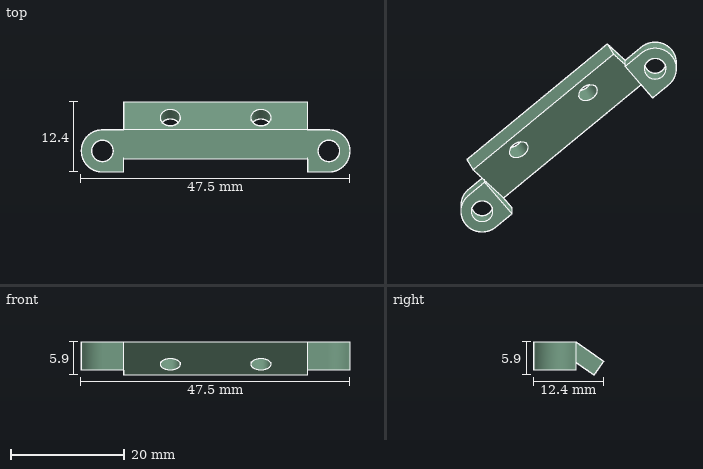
import cadquery as cq
import math

total_length = 47.5
lug_width = 7.5
lug_height = 5.0
lug_hole_diameter = 3.75
plate_thickness = 3.0
plate_tilt = 35.0
plate_overhang = 6.0
plate_hole_diameter = 3.5
plate_hole_spacing = 16.0
plate_hole_from_crest = 2.6

lug_radius = lug_width / 2
lug_hole_x = total_length / 2 - lug_radius
plate_length = total_length - 2 * lug_width
tilt_sin = math.sin(math.radians(plate_tilt))
tilt_cos = math.cos(math.radians(plate_tilt))


def make_lug(side):
    """End lug with a round outer end and a square inner end; side is -1 or 1."""
    lug = cq.Workplane("XY").center(side * lug_hole_x, -lug_radius).circle(lug_radius).extrude(-lug_height)
    inner_block = (
        cq.Workplane("XY")
        .center(side * (lug_hole_x - lug_radius / 2), -lug_radius)
        .rect(lug_radius, lug_width)
        .extrude(-lug_height)
    )
    bore = (
        cq.Workplane("XY")
        .center(side * lug_hole_x, -lug_radius)
        .circle(lug_hole_diameter / 2)
        .extrude(-lug_height)
    )
    return lug.union(inner_block).cut(bore)


def make_plate():
    """Tilted plate whose front end is trimmed flush with the top of the lugs."""
    rear_top = (plate_overhang * tilt_cos, -plate_overhang * tilt_sin)
    rear_bottom = (
        rear_top[0] - plate_thickness * tilt_sin,
        rear_top[1] - plate_thickness * tilt_cos,
    )
    front_edge = (-plate_thickness / tilt_sin, 0)
    return (
        cq.Workplane("YZ")
        .polyline([(0, 0), rear_top, rear_bottom, front_edge])
        .close()
        .extrude(plate_length / 2, both=True)
    )


def make_plate_holes():
    """Pair of cylinders through the plate, square to its sloping face."""
    slope_plane = cq.Plane(origin=(0, 0, 0), xDir=(1, 0, 0), normal=(0, tilt_sin, tilt_cos))
    half_spacing = plate_hole_spacing / 2
    return (
        cq.Workplane(slope_plane)
        .pushPoints([(side * half_spacing, plate_hole_from_crest) for side in (-1, 1)])
        .circle(plate_hole_diameter / 2)
        .extrude(-plate_thickness)
    )


result = make_plate().cut(make_plate_holes())
for side in (-1, 1):
    result = result.union(make_lug(side))